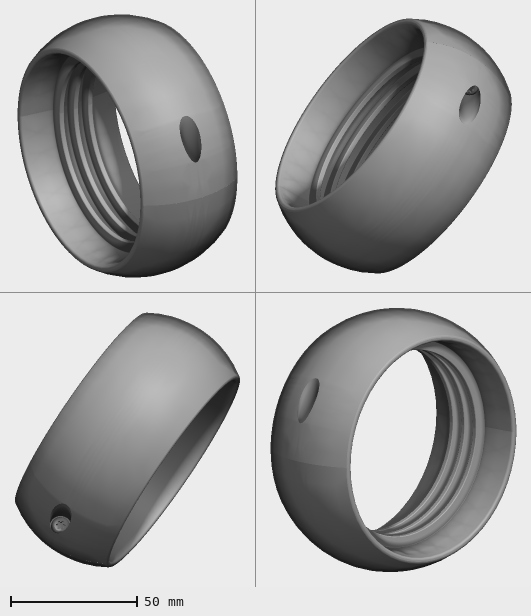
import cadquery as cq
import math


outer_radius = 52.5
width = 45.0
half_width = width / 2
end_radius = 45.7
mouth_radius = 43.7
bore_floor_radius = 41.8
rib_radius = 37.5
rib_pitch = 6.7
rib_tip_thickness = 2.1
rib_slope = 4.0
rib_count = 3
mouth_rounding = 1.0
rim_rounding = 1.0
rib_rounding = 0.3
rib_lean = (bore_floor_radius - rib_radius) * math.tan(math.radians(rib_slope))
ribbed_tip_width = (rib_count - 1) * rib_pitch + rib_tip_thickness
groove_tip_width = rib_pitch - rib_tip_thickness
radius_tolerance = 0.001

screw_offset = 46.0
shank_radius = 2.0
head_radius = 3.8
head_height = 2.2
head_flat_radius = 2.4
counterbore_radius = 4.3
seat_height = 10.0
thread_depth = 10.0

lobe_count = 6
lobe_radius = 1.9
valley_radius = 1.3
socket_depth = 1.3


def round_circles(ring, radius, rounding):
    """Round every circular edge of one radius."""
    edges = [
        edge for edge in ring.edges("%CIRCLE").vals()
        if math.isclose(edge.radius(), radius, abs_tol=radius_tolerance)
    ]
    return ring.newObject(edges).fillet(rounding)


def revolve_about_y(profile):
    """Full turn of a profile drawn as (Y, Z) on the YZ plane."""
    return profile.close().revolve(360, (0, 0, 0), (1, 0, 0))


def make_barrel():
    """Barrel-shaped ring with a straight hole at the rib radius."""
    profile = (
        cq.Workplane("YZ")
        .moveTo(-half_width, rib_radius)
        .lineTo(-half_width, end_radius)
        .threePointArc((0, outer_radius), (half_width, end_radius))
        .lineTo(half_width, rib_radius)
    )
    return revolve_about_y(profile)


def make_tapered_mouth(side):
    """Cutter for the tapered bore from one end face (side -1 or +1) to the ribs."""
    rib_tip = side * ribbed_tip_width / 2
    rib_root = rib_tip + side * rib_lean
    end_face = side * half_width
    profile = (
        cq.Workplane("YZ")
        .moveTo(rib_tip, 0)
        .lineTo(rib_tip, rib_radius)
        .lineTo(rib_root, bore_floor_radius)
        .lineTo(end_face, mouth_radius)
        .lineTo(end_face, 0)
    )
    return revolve_about_y(profile)


def make_groove(center):
    """Cutter for one groove between neighbouring ribs, narrower at its floor."""
    tip = groove_tip_width / 2
    root = tip - rib_lean
    profile = (
        cq.Workplane("YZ")
        .moveTo(center - tip, 0)
        .lineTo(center - tip, rib_radius)
        .lineTo(center - root, bore_floor_radius)
        .lineTo(center + root, bore_floor_radius)
        .lineTo(center + tip, rib_radius)
        .lineTo(center + tip, 0)
    )
    return revolve_about_y(profile)


def make_ring():
    """Whole ring with its ribs and roundings, before it is split."""
    ring = make_barrel()
    for side in (-1, 1):
        ring = ring.cut(make_tapered_mouth(side))
    for index in range(rib_count - 1):
        center = (index - (rib_count - 2) / 2) * rib_pitch
        ring = ring.cut(make_groove(center))
    ring = round_circles(ring, rib_radius, rib_rounding)
    ring = round_circles(ring, bore_floor_radius, rib_rounding)
    ring = round_circles(ring, mouth_radius, mouth_rounding)
    ring = round_circles(ring, end_radius, rim_rounding)
    return ring


def half_turn(body):
    """The same body turned half a turn about the ring axis."""
    return body.rotate((0, 0, 0), (0, 1, 0), 180)


def make_cylinder(radius, bottom, top):
    """Upright cylinder on the screw axis."""
    return cq.Workplane("XY", origin=(screw_offset, 0, bottom)).circle(radius).extrude(top - bottom)


def make_half(ring):
    """Upper half: counterbored for a screw on +X and threaded for the other screw on -X."""
    block = cq.Workplane("XY").box(
        2 * outer_radius, width, outer_radius, centered=(True, True, False)
    )
    shank_hole = make_cylinder(shank_radius, -thread_depth, seat_height)
    counterbore = make_cylinder(counterbore_radius, seat_height, outer_radius)
    half = ring.intersect(block)
    return half.cut(shank_hole).cut(counterbore).cut(half_turn(shank_hole))


def make_socket():
    """Cutter for the six-lobed drive socket, a wavy outline between lobe and valley radius."""
    mean_radius = (lobe_radius + valley_radius) / 2
    wave = (lobe_radius - valley_radius) / 2
    points_per_lobe = 4
    point_count = lobe_count * points_per_lobe
    points = []
    for index in range(point_count):
        angle = 2 * math.pi * index / point_count
        radius = mean_radius + wave * math.cos(lobe_count * angle)
        points.append((radius * math.cos(angle), radius * math.sin(angle)))
    head_top = seat_height + head_height
    return (
        cq.Workplane("XY", origin=(screw_offset, 0, head_top))
        .spline(points, periodic=True)
        .close()
        .extrude(-socket_depth)
    )


def make_screw():
    """Button-head screw standing on +X with its head up."""
    head_top = seat_height + head_height
    run = head_radius - head_flat_radius
    dome_radius = (head_height**2 + run**2) / (2 * run)
    half_angle = math.asin(head_height / dome_radius) / 2
    dome_middle = (
        head_radius - dome_radius * (1 - math.cos(half_angle)),
        seat_height + dome_radius * math.sin(half_angle),
    )
    screw = (
        cq.Workplane("XZ", origin=(screw_offset, 0, 0))
        .moveTo(0, -thread_depth)
        .lineTo(shank_radius, -thread_depth)
        .lineTo(shank_radius, seat_height)
        .lineTo(head_radius, seat_height)
        .threePointArc(dome_middle, (head_flat_radius, head_top))
        .lineTo(0, head_top)
        .close()
        .revolve(360, (0, 0, 0), (0, 1, 0))
    )
    return screw.cut(make_socket())


upper_half = make_half(make_ring())
lower_half = half_turn(upper_half)
screw = make_screw()
opposite_screw = half_turn(screw)

result = cq.Compound.makeCompound(
    [upper_half.val(), lower_half.val(), screw.val(), opposite_screw.val()]
)